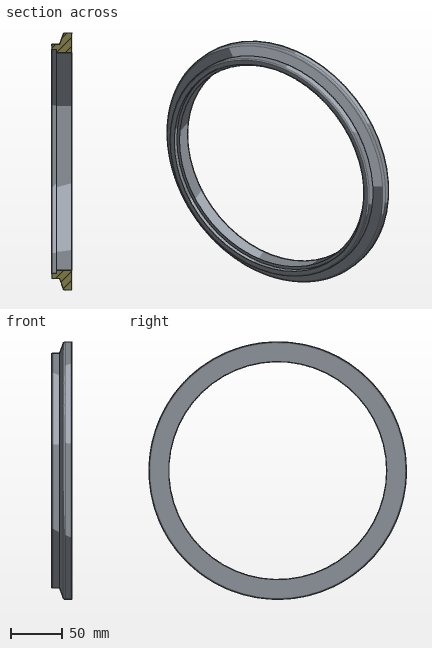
import cadquery as cq
import math

width = 20.0
flange_radius = 252 / 2
collar_radius = 230.0 / 2
recess_radius = 219.0 / 2
bore_radius = 213.0 / 2

collar_length = 7.8
recess_depth = 4.8
cone_angle = 20

collar_edge_round = 1.3
flange_edge_round = 2.5
back_edge_round = 0.8

cone_length = (flange_radius - collar_radius) * math.tan(math.radians(cone_angle))
flange_start = collar_length + cone_length


def make_sharp_ring():
    """Turn the stepped half section, with X along the axis and Y as the radius."""
    section = (
        cq.Workplane("XY")
        .moveTo(0, recess_radius)
        .lineTo(0, collar_radius)
        .lineTo(collar_length, collar_radius)
        .lineTo(flange_start, flange_radius)
        .lineTo(width, flange_radius)
        .lineTo(width, bore_radius)
        .lineTo(recess_depth, bore_radius)
        .lineTo(recess_depth, recess_radius)
        .close()
    )
    return section.revolve(360, (0, 0, 0), (1, 0, 0))


def round_outer_edge(ring, x, edge_round):
    """Round the largest circular edge lying at axial position x."""
    margin = 0.03
    reach = 2 * flange_radius
    at_position = cq.selectors.BoxSelector(
        (x - margin, -reach, -reach), (x + margin, reach, reach), boundingbox=True
    )
    circles = ring.edges(at_position).edges("%CIRCLE").vals()
    outer_edge = max(circles, key=lambda edge: edge.radius())
    return ring.newObject([outer_edge]).fillet(edge_round)


ring = make_sharp_ring()
ring = round_outer_edge(ring, 0, collar_edge_round)
ring = round_outer_edge(ring, flange_start, flange_edge_round)
ring = round_outer_edge(ring, width, back_edge_round)

result = ring